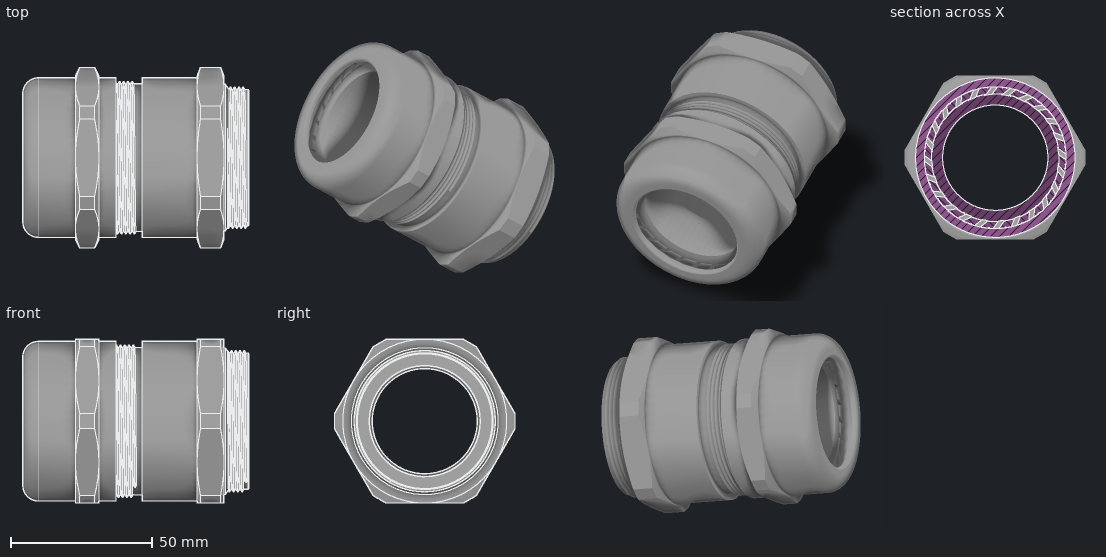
import cadquery as cq
import math


CAGE_TIP_X = 7.2
SEAL_FRONT_X = 7.7
CAP_HEX_START_X = 18.65
BODY_FRONT_X = 19.0
SEAL_REAR_X = 24.4
CAP_HEX_END_X = 27.0
CAGE_REAR_X = 27.1
CAP_REAR_X = 33.05
SHOULDER_X = 42.25
BODY_HEX_START_X = 61.7
BODY_HEX_END_X = 71.2
TOTAL_LENGTH = 80.0

BARREL_DIAMETER = 56.6
DOME_RADIUS = 5.65
HEX_ACROSS_FLATS = 58.0
HEX_ACROSS_CORNERS = 63.9
CAP_HEX_CHAMFER = 1.5
BODY_HEX_CHAMFER = 1.15

MOUTH_DIAMETER = 40.88
LIP_DIAMETER = 39.36
LIP_ROUND_DEPTH = 1.2
LIP_LAND_END_X = 1.8
CAP_THREAD_BORE_DIAMETER = 54.2

CAGE_DIAMETER = 50.0
CAGE_BORE_DIAMETER = 39.1
SEAL_DIAMETER = 45.0
SEAL_BORE_DIAMETER = 37.1
SLOT_COUNT = 24
SLOT_WIDTH = 1.5
SLOT_END_X = 18.0
SLOT_SLANT = 39
SLOT_SPAN_IN_WALLS = 3
FIRST_SLOT_ANGLE = -2.9

THREAD_PITCH = 1.5
THREAD_FLANK_ANGLE = math.radians(30)
THREAD_EMBED = 0.2
THREAD_CREST_WIDTH = 0.2
CAP_THREAD_DIAMETER = 54.0
CAP_THREAD_ROOT_DIAMETER = 52.3
CAP_THREAD_START_X = 29.75
CAP_THREAD_LENGTH = 10.0
MOUNT_THREAD_DIAMETER = 50.0
MOUNT_THREAD_ROOT_DIAMETER = 48.32
MOUNT_THREAD_START_X = 72.0
MOUNT_THREAD_LENGTH = 7.0
MOUNT_TIP_CHAMFER = 0.32

GASKET_OUTER_DIAMETER = 51.94
GASKET_INNER_DIAMETER = 46.94
GASKET_RIM_END_X = 71.65
GASKET_END_X = 73.0
BODY_BORE_DIAMETER = 39.36

X_AXIS_START = (0, 0, 0)
X_AXIS_END = (1, 0, 0)


def revolve_about_x(profile):
    """Turn a closed (x, radius) profile about the X axis."""
    return profile.close().revolve(360, X_AXIS_START, X_AXIS_END)


def cylinder(start_x, end_x, diameter):
    return cq.Workplane("YZ", origin=(start_x, 0, 0)).circle(diameter / 2).extrude(end_x - start_x)


def hexagon(start_x, end_x, across_flats, turn):
    corner_diameter = across_flats / math.cos(math.pi / 6)
    prism = cq.Workplane("YZ", origin=(start_x, 0, 0)).polygon(6, corner_diameter).extrude(end_x - start_x)
    return prism.rotate(X_AXIS_START, X_AXIS_END, turn)


def chamfered_hexagon(start_x, end_x, chamfer_length):
    """Hexagon with flats at +Z and -Z, flattened corners and both ends turned conical."""
    prism = hexagon(start_x, end_x, HEX_ACROSS_FLATS, 0)
    prism = prism.intersect(hexagon(start_x, end_x, HEX_ACROSS_CORNERS, 30))
    end_radius = HEX_ACROSS_FLATS / 2
    corner_radius = HEX_ACROSS_CORNERS / 2
    slope = (corner_radius - end_radius) / chamfer_length
    middle_x = (start_x + end_x) / 2
    peak_radius = end_radius + slope * (middle_x - start_x)
    double_cone = revolve_about_x(
        cq.Workplane("XY")
        .moveTo(start_x, 0)
        .lineTo(start_x, end_radius)
        .lineTo(middle_x, peak_radius)
        .lineTo(end_x, end_radius)
        .lineTo(end_x, 0)
    )
    return prism.intersect(double_cone)


def thread_ridge(start_x, length, root_diameter, crest_diameter):
    """Right-handed helical ridge whose crest starts on the +Y side at start_x."""
    inner_radius = root_diameter / 2 - THREAD_EMBED
    crest_radius = crest_diameter / 2
    half_crest = THREAD_CREST_WIDTH / 2
    half_base = half_crest + (crest_radius - inner_radius) * math.tan(THREAD_FLANK_ANGLE)
    path = cq.Wire.makeHelix(THREAD_PITCH, length, inner_radius)
    ridge = (
        cq.Workplane("XZ")
        .moveTo(inner_radius, -half_base)
        .lineTo(crest_radius, -half_crest)
        .lineTo(crest_radius, half_crest)
        .lineTo(inner_radius, half_base)
        .close()
        .sweep(cq.Workplane(path), isFrenet=True)
    )
    return ridge.rotate((0, 0, 0), (1, 1, 1), 120).translate((start_x, 0, 0))


def make_cap():
    """Domed nut with a rounded mouth, a conical seat for the cage fingers and a hexagon."""
    barrel_radius = BARREL_DIAMETER / 2
    lip_radius = LIP_DIAMETER / 2
    mouth_radius = MOUTH_DIAMETER / 2
    cage_radius = CAGE_DIAMETER / 2
    thread_bore_radius = CAP_THREAD_BORE_DIAMETER / 2
    arc_share = math.sqrt(0.5)
    dome_middle = (
        DOME_RADIUS * (1 - arc_share),
        barrel_radius - DOME_RADIUS * (1 - arc_share),
    )
    lip_middle = (
        LIP_ROUND_DEPTH * (1 - arc_share),
        lip_radius + (mouth_radius - lip_radius) * (1 - arc_share),
    )
    shell = revolve_about_x(
        cq.Workplane("XY")
        .moveTo(0, mouth_radius)
        .lineTo(0, barrel_radius - DOME_RADIUS)
        .threePointArc(dome_middle, (DOME_RADIUS, barrel_radius))
        .lineTo(CAP_REAR_X, barrel_radius)
        .lineTo(CAP_REAR_X, thread_bore_radius)
        .lineTo(BODY_FRONT_X, thread_bore_radius)
        .lineTo(BODY_FRONT_X, cage_radius)
        .lineTo(CAGE_TIP_X, cage_radius)
        .lineTo(LIP_LAND_END_X, lip_radius)
        .lineTo(LIP_ROUND_DEPTH, lip_radius)
        .threePointArc(lip_middle, (0, mouth_radius))
    )
    hex_ring = chamfered_hexagon(CAP_HEX_START_X, CAP_HEX_END_X, CAP_HEX_CHAMFER)
    hex_ring = hex_ring.cut(cylinder(CAP_HEX_START_X, CAP_HEX_END_X, CAP_THREAD_BORE_DIAMETER))
    return shell.union(hex_ring)


def make_cage():
    """Sleeve around the seal, cut into fingers by slots that slant away from the radius."""
    sleeve = cylinder(CAGE_TIP_X, CAGE_REAR_X, CAGE_DIAMETER)
    sleeve = sleeve.cut(cylinder(CAGE_TIP_X, SEAL_REAR_X, SEAL_DIAMETER))
    sleeve = sleeve.cut(cylinder(SEAL_REAR_X, CAGE_REAR_X, CAGE_BORE_DIAMETER))
    slot_length = SLOT_END_X - CAGE_TIP_X
    wall = (CAGE_DIAMETER - SEAL_DIAMETER) / 2
    slot_span = SLOT_SPAN_IN_WALLS * wall
    slot = cq.Workplane("XY").box(slot_length, slot_span, SLOT_WIDTH, centered=(False, True, True))
    slot = slot.rotate(X_AXIS_START, X_AXIS_END, SLOT_SLANT)
    slot = slot.translate((CAGE_TIP_X, (CAGE_DIAMETER + SEAL_DIAMETER) / 4, 0))
    for index in range(SLOT_COUNT):
        angle = FIRST_SLOT_ANGLE + index * 360 / SLOT_COUNT
        sleeve = sleeve.cut(slot.rotate(X_AXIS_START, X_AXIS_END, angle))
    return sleeve


def make_seal():
    seal = cylinder(SEAL_FRONT_X, SEAL_REAR_X, SEAL_DIAMETER)
    return seal.cut(cylinder(SEAL_FRONT_X, SEAL_REAR_X, SEAL_BORE_DIAMETER))


def make_gasket():
    """Flat ring against the hexagon, tapering down to the thread root."""
    outer_radius = GASKET_OUTER_DIAMETER / 2
    inner_radius = GASKET_INNER_DIAMETER / 2
    return revolve_about_x(
        cq.Workplane("XY")
        .moveTo(BODY_HEX_END_X, inner_radius)
        .lineTo(BODY_HEX_END_X, outer_radius)
        .lineTo(GASKET_RIM_END_X, outer_radius)
        .lineTo(GASKET_END_X, MOUNT_THREAD_ROOT_DIAMETER / 2)
        .lineTo(GASKET_END_X, inner_radius)
    )


def make_body(gasket):
    """Tube with both external threads and the second hexagon, seated against the gasket."""
    body = cylinder(BODY_FRONT_X, SHOULDER_X, CAP_THREAD_ROOT_DIAMETER)
    body = body.union(cylinder(SHOULDER_X, BODY_HEX_START_X, BARREL_DIAMETER))
    body = body.union(chamfered_hexagon(BODY_HEX_START_X, BODY_HEX_END_X, BODY_HEX_CHAMFER))
    spigot = cylinder(BODY_HEX_END_X, TOTAL_LENGTH, MOUNT_THREAD_ROOT_DIAMETER)
    body = body.union(spigot.faces(">X").chamfer(MOUNT_TIP_CHAMFER))
    body = body.cut(cylinder(BODY_FRONT_X, CAGE_REAR_X, CAGE_DIAMETER))
    body = body.cut(cylinder(CAGE_REAR_X, TOTAL_LENGTH, BODY_BORE_DIAMETER))
    cap_thread = thread_ridge(
        CAP_THREAD_START_X, CAP_THREAD_LENGTH, CAP_THREAD_ROOT_DIAMETER, CAP_THREAD_DIAMETER
    )
    mount_thread = thread_ridge(
        MOUNT_THREAD_START_X, MOUNT_THREAD_LENGTH, MOUNT_THREAD_ROOT_DIAMETER, MOUNT_THREAD_DIAMETER
    )
    body = body.union(cap_thread).union(mount_thread)
    return body.cut(gasket)


cap = make_cap()
cage = make_cage()
seal = make_seal()
gasket = make_gasket()
body = make_body(gasket)

result = cq.Compound.makeCompound([cap.val(), cage.val(), seal.val(), gasket.val(), body.val()])